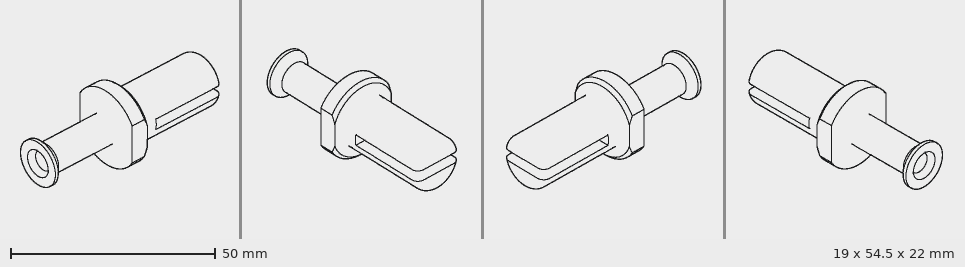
import cadquery as cq
import math

LENGTH = 54.5

HEAD_DIAMETER = 12.75
HEAD_RIM = 1.0
HEAD_CONE = 2.0
STEM_DIAMETER = 8.5
STEM_LENGTH = 22.5

FLANGE_DIAMETER = 22.0
FLANGE_THICKNESS = 5.0
FLANGE_CHAMFER = 1.0
FLATS_WIDTH = 19.0

PLUG_DIAMETER = 14.55
PLUG_END_RADIUS = 2.0
SLOT_WIDTH = 3.1
SLOT_DEPTH = 22.0

ROOT_RADIUS = 0.5

SINK_DIAMETER = 7.5
SINK_DEPTH = 1.75
HOLE_DIAMETER = 5.5
HOLE_DEPTH = 10.0
DRILL_POINT_ANGLE = 118

head_face = -LENGTH / 2
flange_front = head_face + STEM_LENGTH
flange_back = flange_front + FLANGE_THICKNESS
plug_end = LENGTH / 2


def turned_body():
    """Head, stem, flange and plug as one revolved profile, X being the radius."""
    head = HEAD_DIAMETER / 2
    stem = STEM_DIAMETER / 2
    flange = FLANGE_DIAMETER / 2
    plug = PLUG_DIAMETER / 2
    profile = (
        cq.Workplane("XY")
        .moveTo(0, head_face)
        .lineTo(head, head_face)
        .lineTo(head, head_face + HEAD_RIM)
        .lineTo(stem, head_face + HEAD_RIM + HEAD_CONE)
        .lineTo(stem, flange_front - ROOT_RADIUS)
        .radiusArc((stem + ROOT_RADIUS, flange_front), ROOT_RADIUS)
        .lineTo(flange, flange_front)
        .lineTo(flange, flange_back - FLANGE_CHAMFER)
        .lineTo(flange - FLANGE_CHAMFER, flange_back)
        .lineTo(plug + ROOT_RADIUS, flange_back)
        .radiusArc((plug, flange_back + ROOT_RADIUS), ROOT_RADIUS)
        .lineTo(plug, plug_end - PLUG_END_RADIUS)
        .radiusArc((plug - PLUG_END_RADIUS, plug_end), -PLUG_END_RADIUS)
        .lineTo(0, plug_end)
        .close()
    )
    return profile.revolve(360, (0, 0, 0), (0, 1, 0))


def flats_envelope():
    """Block whose two X faces cut the flats on the flange."""
    return cq.Workplane("XY").box(FLATS_WIDTH, LENGTH, FLANGE_DIAMETER)


def plug_slot():
    """Slot through the plug along X, open at the +Y end."""
    return cq.Workplane("XY").box(PLUG_DIAMETER, SLOT_DEPTH, SLOT_WIDTH).translate(
        (0, plug_end - SLOT_DEPTH / 2, 0)
    )


def head_hole():
    """Countersink, bore and drill point along the axis, sunk into the head face."""
    bore = HOLE_DIAMETER / 2
    bore_end = head_face + HOLE_DEPTH
    point_length = bore / math.tan(math.radians(DRILL_POINT_ANGLE / 2))
    profile = (
        cq.Workplane("XY")
        .moveTo(0, head_face)
        .lineTo(SINK_DIAMETER / 2, head_face)
        .lineTo(bore, head_face + SINK_DEPTH)
        .lineTo(bore, bore_end)
        .lineTo(0, bore_end + point_length)
        .close()
    )
    return profile.revolve(360, (0, 0, 0), (0, 1, 0))


result = turned_body().intersect(flats_envelope()).cut(plug_slot()).cut(head_hole())